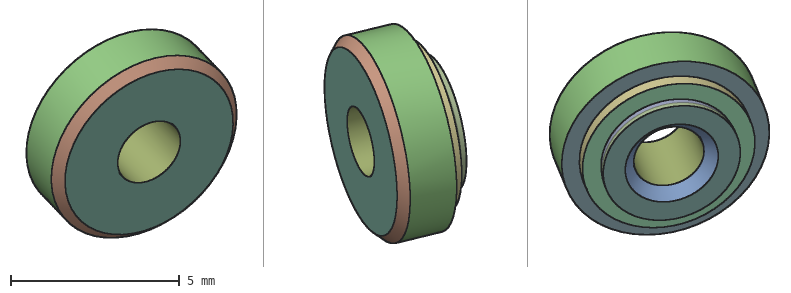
import cadquery as cq

length = 2.54
rim_radius = 3.175
rim_start = 0.755
rim_chamfer = 0.3

shoulder_radius = 2.635
shoulder_start = 0.375
nose_radius = 2.095
nose_land = 0.18
relief_depth = 0.025

bore_radius = 1.07
countersink_radius = 1.42
countersink_depth = countersink_radius - bore_radius

section = [
    (0, countersink_radius),
    (0, nose_radius),
    (nose_land, nose_radius),
    (shoulder_start, nose_radius - relief_depth),
    (shoulder_start, shoulder_radius),
    (rim_start, shoulder_radius),
    (rim_start, rim_radius),
    (length - rim_chamfer, rim_radius),
    (length, rim_radius - rim_chamfer),
    (length, bore_radius),
    (countersink_depth, bore_radius),
]

result = (
    cq.Workplane("XZ")
    .polyline(section)
    .close()
    .revolve(360, (0, 0, 0), (1, 0, 0))
)